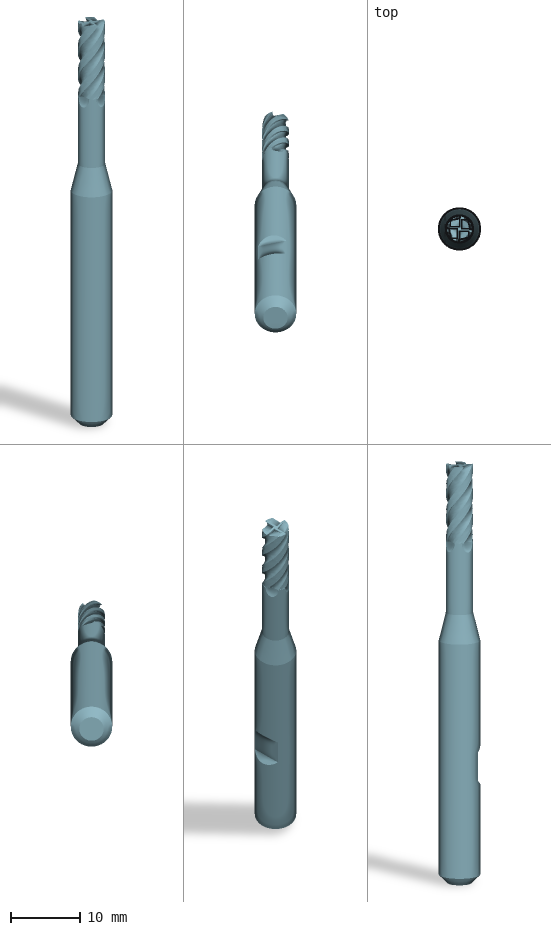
import cadquery as cq
import math

TOTAL_LENGTH = 62.0
SHANK_RADIUS = 6.0 / 2
CUTTER_RADIUS = 3.95 / 2
CONE_TOP = TOTAL_LENGTH - 21.9
CONE_BASE = TOTAL_LENGTH - 26.05
END_CHAMFER = 1.25

FLAT_DEPTH = 0.85
FLAT_LENGTH = 4.2
FLAT_CENTRE_Z = 17.5

FLUTE_COUNT = 4
FLUTE_SPACING = 360 / FLUTE_COUNT
FLUTE_LENGTH = 11.3
HELIX_LEAD = 15.0
FLUTE_TWIST = 360 * FLUTE_LENGTH / HELIX_LEAD
FLUTE_BASE = TOTAL_LENGTH - FLUTE_LENGTH

CORE_RADIUS = 1.5
CORE_ANGLE = 22.0
RAKE_FOOT_RADIUS = 1.7
RAKE_FOOT_ANGLE = -3.0
HEEL_RADIUS = CUTTER_RADIUS - 0.05
HEEL_ANGLE = 50.0
RELIEF_RADIUS = CUTTER_RADIUS - 0.03
RELIEF_ANGLE = 78.0
LAND_RADIUS = (HEEL_RADIUS + RELIEF_RADIUS) / 2
LAND_ANGLE = (HEEL_ANGLE + RELIEF_ANGLE) / 2

RUNOUT_RADIUS = 2.25
RUNOUT_ANGLE = 22.0

GASH_DEPTH = 0.5
GASH_WIDTH = 1.35
END_LAND = 0.3


def polar(radius, angle):
    """Point in the XY plane at a radius and an angle in degrees."""
    return (radius * math.cos(math.radians(angle)), radius * math.sin(math.radians(angle)))


def make_blank():
    """Turned shank, cone and neck, up to the start of the flutes."""
    profile = [
        (0, 0),
        (SHANK_RADIUS - END_CHAMFER, 0),
        (SHANK_RADIUS, END_CHAMFER),
        (SHANK_RADIUS, CONE_BASE),
        (CUTTER_RADIUS, CONE_TOP),
        (CUTTER_RADIUS, FLUTE_BASE),
        (0, FLUTE_BASE),
    ]
    return cq.Workplane("XZ").polyline(profile).close().revolve(360, (0, 0), (0, 1))


def make_clamping_flat():
    """Trapezoidal cutter for the flat, reaching across the whole shank in Y."""
    floor_x = FLAT_DEPTH - SHANK_RADIUS
    half_floor = FLAT_LENGTH / 2
    half_mouth = half_floor + FLAT_DEPTH
    profile = [
        (floor_x, FLAT_CENTRE_Z - half_floor),
        (floor_x, FLAT_CENTRE_Z + half_floor),
        (-SHANK_RADIUS, FLAT_CENTRE_Z + half_mouth),
        (-SHANK_RADIUS, FLAT_CENTRE_Z - half_mouth),
    ]
    return cq.Workplane("XZ").polyline(profile).close().extrude(SHANK_RADIUS, both=True)


def make_runouts():
    """Half balls that close the lower ends of the flutes."""
    ball = cq.Workplane("XY").sphere(RUNOUT_RADIUS, angle1=-90, angle2=0)
    centre_radius = CORE_RADIUS + RUNOUT_RADIUS
    runouts = cq.Workplane("XY")
    for index in range(FLUTE_COUNT):
        x, y = polar(centre_radius, index * FLUTE_SPACING + RUNOUT_ANGLE - FLUTE_TWIST)
        runouts = runouts.add(ball.translate((x, y, FLUTE_BASE)))
    return runouts.combine()


def make_fluted_length():
    """Twisted four-tooth section from the flute base to the tip."""
    section = cq.Workplane("XY", origin=(0, 0, FLUTE_BASE)).moveTo(*polar(CUTTER_RADIUS, -FLUTE_TWIST))
    for index in range(FLUTE_COUNT):
        edge = index * FLUTE_SPACING - FLUTE_TWIST
        section = (
            section.lineTo(*polar(RAKE_FOOT_RADIUS, edge + RAKE_FOOT_ANGLE))
            .threePointArc(polar(CORE_RADIUS, edge + CORE_ANGLE), polar(HEEL_RADIUS, edge + HEEL_ANGLE))
            .threePointArc(polar(LAND_RADIUS, edge + LAND_ANGLE), polar(RELIEF_RADIUS, edge + RELIEF_ANGLE))
        )
        if index < FLUTE_COUNT - 1:
            section = section.lineTo(*polar(CUTTER_RADIUS, edge + FLUTE_SPACING))
    return section.close().twistExtrude(FLUTE_LENGTH, FLUTE_TWIST)


def cut_gashes(body):
    """Cut one sloping notch in front of each end tooth, leaving a cross of narrow lands."""
    profile = [(0, TOTAL_LENGTH), (0, TOTAL_LENGTH - GASH_DEPTH), (GASH_WIDTH, TOTAL_LENGTH)]
    gash = (
        cq.Workplane("YZ", origin=(END_LAND, 0, 0)).polyline(profile).close().extrude(CUTTER_RADIUS)
    )
    for index in range(FLUTE_COUNT):
        body = body.cut(gash.rotate((0, 0, 0), (0, 0, 1), index * FLUTE_SPACING))
    return body


shank = make_blank().cut(make_clamping_flat()).cut(make_runouts())
cutter = cut_gashes(make_fluted_length())
result = shank.union(cutter)